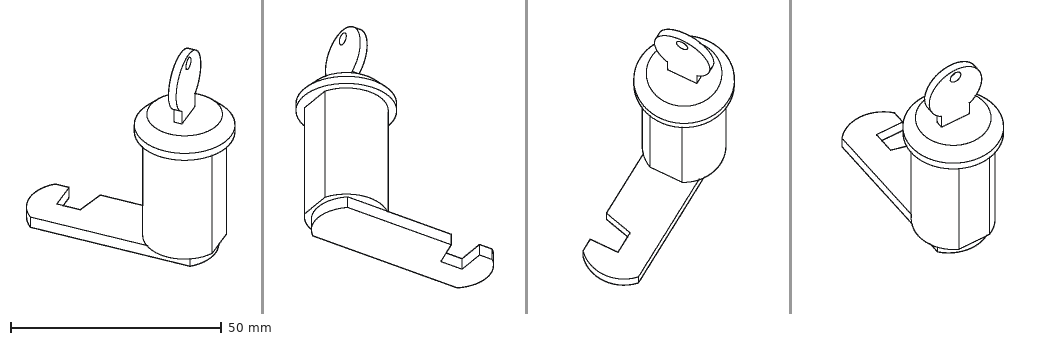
import cadquery as cq
import math

total_height = 55.5

lever_thickness = 3.0
lever_width = 15.0
lever_reach = 40.0
lever_tail = 8.0
lever_end_radius = 10.0
notch_hook_x = -33.0
notch_floor_x = -27.0
notch_mouth_x = -25.0

barrel_diameter = 20.0
barrel_across_flats = 18.0
barrel_length = 30.0
head_diameter = 24.0
rim_height = 2.0
head_chamfer = 3.0

key_thickness = 2.0
bow_diameter = 15.0
shank_width = 8.0
key_hole_diameter = 3.0
key_hole_drop = 2.5

barrel_base = lever_thickness
head_base = barrel_base + barrel_length
head_height = rim_height + head_chamfer


def make_lever():
    """Flat bar with two arc ends and a hook notch cut to its centreline."""
    half_width = lever_width / 2
    end_rise = lever_end_radius - math.sqrt(lever_end_radius**2 - half_width**2)
    hook_shoulder_x = -lever_reach + end_rise
    tail_shoulder_x = lever_tail - end_rise
    return (
        cq.Workplane("XY")
        .moveTo(hook_shoulder_x, -half_width)
        .lineTo(tail_shoulder_x, -half_width)
        .threePointArc((lever_tail, 0), (tail_shoulder_x, half_width))
        .lineTo(notch_mouth_x, half_width)
        .lineTo(notch_floor_x, 0)
        .lineTo(notch_hook_x, 0)
        .lineTo(notch_hook_x, half_width)
        .lineTo(hook_shoulder_x, half_width)
        .threePointArc((-lever_reach, 0), (hook_shoulder_x, -half_width))
        .close()
        .extrude(lever_thickness)
    )


def make_barrel():
    """Round barrel with two opposite flats facing -X and +X."""
    barrel = cq.Workplane("XY").workplane(offset=barrel_base)
    flats = barrel.rect(barrel_across_flats, barrel_diameter).extrude(barrel_length)
    return barrel.circle(barrel_diameter / 2).extrude(barrel_length).intersect(flats)


def make_head():
    """Collar with a straight rim and a chamfered top edge."""
    return (
        cq.Workplane("XY")
        .workplane(offset=head_base)
        .circle(head_diameter / 2)
        .extrude(head_height)
        .faces(">Z")
        .chamfer(head_chamfer)
    )


def make_key():
    """Round bow on a straight shank that runs down into the head."""
    bow_center_z = total_height - bow_diameter / 2
    shank_height = bow_center_z - head_base
    half_thickness = key_thickness / 2
    plane = cq.Workplane("YZ")
    bow = plane.center(0, bow_center_z).circle(bow_diameter / 2).extrude(half_thickness, both=True)
    shank = (
        plane.center(0, head_base + shank_height / 2)
        .rect(shank_width, shank_height)
        .extrude(half_thickness, both=True)
    )
    hole = (
        plane.center(0, total_height - key_hole_drop)
        .circle(key_hole_diameter / 2)
        .extrude(key_thickness, both=True)
    )
    return bow.union(shank).cut(hole)


result = make_lever().union(make_barrel()).union(make_head()).union(make_key())